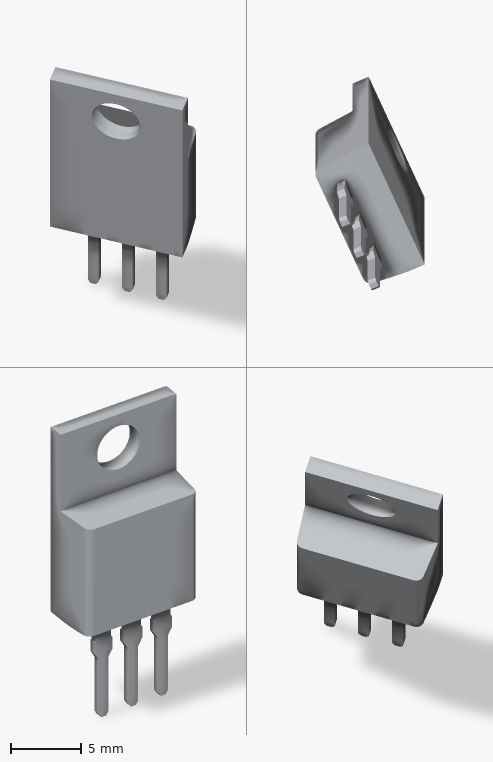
import cadquery as cq
import math

WIDTH = 9.9
DEPTH = 4.45
HEIGHT = 23.55

TAB_THICKNESS = 1.27
HOLE_DIAMETER = 3.63
HOLE_DROP = 2.8
TAB_BOTTOM = 10.05
TAB_SIDE_STEP = 1.0

HOUSING_TOP = 17.12
HOUSING_BOTTOM = 7.98
SIDE_DRAFT = 5.0
TOP_DRAFT = 2.0
BACK_RADIUS = 0.57
BOTTOM_BULGE = 0.07
BOTTOM_BACK_RISE = 0.05

LEAD_PITCH = 2.55
LEAD_COUNT = 3
LEAD_FRONT = 2.61
LEAD_THICKNESS = 0.6
ROOT_WIDTH = 1.27
SHOULDER_WIDTH = 1.5
PIN_WIDTH = 0.8
TIP_WIDTH = 0.4
SHOULDER_TOP = 6.45
SHOULDER_BOTTOM = 5.49
PIN_TOP = 4.9
TIP_HEIGHT = 0.3
LEAD_EMBEDMENT = 0.47


def make_tab():
    """Flat plate with a mounting hole, narrowed where the housing grips it."""
    step_x = WIDTH / 2 - TAB_SIDE_STEP
    right_side = [
        (step_x, TAB_BOTTOM),
        (step_x, HOUSING_TOP),
        (WIDTH / 2, HOUSING_TOP),
        (WIDTH / 2, HEIGHT),
    ]
    left_side = [(-x, z) for x, z in reversed(right_side)]
    plate = (
        cq.Workplane("XZ")
        .polyline(right_side + left_side)
        .close()
        .extrude(-TAB_THICKNESS)
    )
    hole = (
        cq.Workplane("XZ")
        .center(0, HEIGHT - HOLE_DROP)
        .circle(HOLE_DIAMETER / 2)
        .extrude(-TAB_THICKNESS)
    )
    return plate.cut(hole)


def make_moulding():
    """Block flush with the tab, with drafted sides and top and a bowed underside behind it."""
    lowest = HOUSING_BOTTOM - BOTTOM_BULGE
    draft_depth = DEPTH - TAB_THICKNESS
    side_inset = draft_depth * math.tan(math.radians(SIDE_DRAFT))
    top_drop = draft_depth * math.tan(math.radians(TOP_DRAFT))

    plan = (
        cq.Workplane("XY", origin=(0, 0, lowest))
        .polyline([
            (-WIDTH / 2, 0),
            (WIDTH / 2, 0),
            (WIDTH / 2, TAB_THICKNESS),
            (WIDTH / 2 - side_inset, DEPTH),
            (-WIDTH / 2 + side_inset, DEPTH),
            (-WIDTH / 2, TAB_THICKNESS),
        ])
        .close()
        .extrude(HOUSING_TOP - lowest)
        .edges("|Z and >Y")
        .fillet(BACK_RADIUS)
    )
    profile = (
        cq.Workplane("YZ", origin=(-WIDTH / 2, 0, 0))
        .moveTo(0, HOUSING_BOTTOM)
        .lineTo(TAB_THICKNESS, HOUSING_BOTTOM)
        .threePointArc(
            (TAB_THICKNESS + draft_depth / 2, lowest),
            (DEPTH, HOUSING_BOTTOM + BOTTOM_BACK_RISE),
        )
        .lineTo(DEPTH, HOUSING_TOP - top_drop)
        .lineTo(TAB_THICKNESS, HOUSING_TOP)
        .lineTo(0, HOUSING_TOP)
        .close()
        .extrude(WIDTH)
    )
    return plan.intersect(profile)


def make_lead(center_x):
    """Flat stepped lead with a tapered tip, running up into the housing."""
    right_side = [
        (TIP_WIDTH / 2, 0),
        (PIN_WIDTH / 2, TIP_HEIGHT),
        (PIN_WIDTH / 2, PIN_TOP),
        (SHOULDER_WIDTH / 2, SHOULDER_BOTTOM),
        (SHOULDER_WIDTH / 2, SHOULDER_TOP),
        (ROOT_WIDTH / 2, SHOULDER_TOP),
        (ROOT_WIDTH / 2, HOUSING_BOTTOM + LEAD_EMBEDMENT),
    ]
    left_side = [(-x, z) for x, z in reversed(right_side)]
    return (
        cq.Workplane("XZ", origin=(center_x, LEAD_FRONT, 0))
        .polyline(right_side + left_side)
        .close()
        .extrude(-LEAD_THICKNESS)
    )


def make_housing(tab):
    """Moulding with its leads as one solid, recessed to receive the tab."""
    housing = make_moulding().cut(tab)
    for index in range(LEAD_COUNT):
        center_x = (index - (LEAD_COUNT - 1) / 2) * LEAD_PITCH
        housing = housing.union(make_lead(center_x))
    return housing


tab = make_tab()
housing = make_housing(tab)

result = cq.Compound.makeCompound([tab.val(), *housing.vals()])